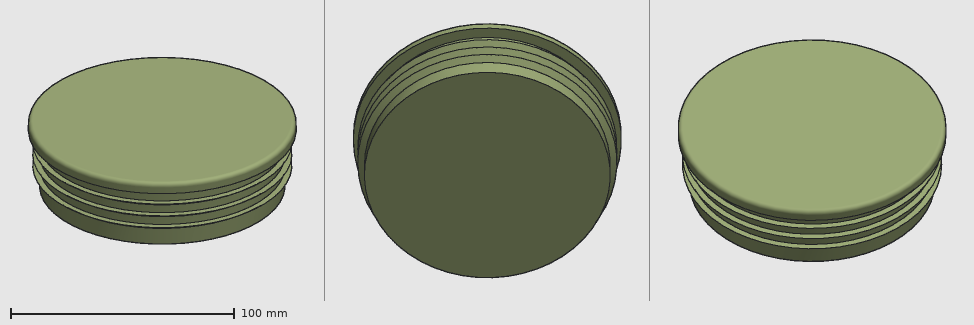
import cadquery as cq

head_diameter = 120.0
total_height = 33.5

head_thickness = 5.0
head_edge_radius = 2.0

body_diameter = 110.0

fin_diameter = 116.0
fin_height = 2.0
fin_pitch = 6.0
fin_count = 3
lowest_fin_base = 8.0

fin_overlap = 1.2


def make_head():
    return (
        cq.Workplane("XY")
        .workplane(offset=total_height - head_thickness)
        .circle(head_diameter / 2)
        .extrude(head_thickness)
        .faces(">Z")
        .edges()
        .fillet(head_edge_radius)
    )


def make_body():
    return cq.Workplane("XY").circle(body_diameter / 2).extrude(total_height - head_thickness)


def make_fin(base_height):
    body_radius = body_diameter / 2
    inner_radius = body_radius - fin_overlap
    top_height = base_height + fin_height
    return (
        cq.Workplane("XZ")
        .moveTo(inner_radius, base_height)
        .lineTo(body_radius, base_height)
        .lineTo(fin_diameter / 2, top_height)
        .lineTo(inner_radius, top_height)
        .close()
        .revolve(360, (0, 0, 0), (0, 1, 0))
    )


result = make_body().union(make_head())
for fin_index in range(fin_count):
    result = result.union(make_fin(lowest_fin_base + fin_index * fin_pitch))